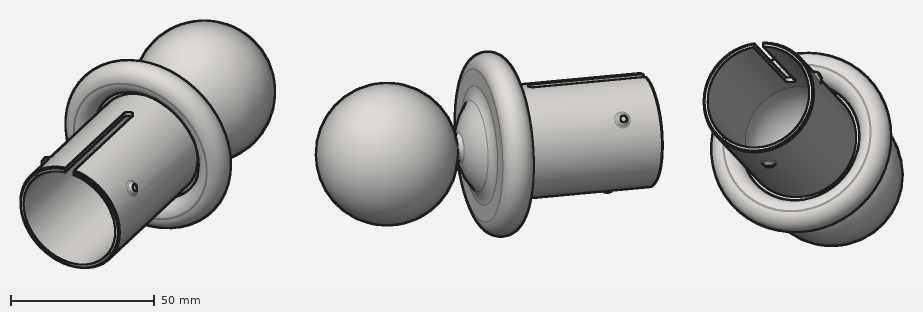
import cadquery as cq
import math

total_length = 119.8

ball_radius = 24.9
neck_radius = 4.5
neck_end_radius = 5.4
neck_overlap = 0.6

tube_radius = 40.0 / 2
bore_radius = 36.8 / 2
tube_end_chamfer = 0.5

ring_radius = 64.9 / 2
ring_base_y = 50.0
ring_height = 11.1
ring_flat_width = 0.4
groove_radius = 21.3

dome_radius = 24.4
dome_center_y = 44.5
dome_flare_radius = 7.7

slot_width = 3.5
slot_end_y = 43.1

nub_count = 3
nub_y = 14.0
nub_base_radius = 2.4
nub_tip_radius = 1.2
nub_height = 1.2
nub_fillet = 1.0
nub_edge_search = 0.4

ball_center_y = total_length - ball_radius
ring_top_y = ring_base_y + ring_height
ring_round = ring_height / 2
tube_wall = tube_radius - bore_radius
ring_mid_y = ring_base_y + ring_round
ring_outer_center = ring_radius - ring_round
ring_inner_center = ring_outer_center - ring_flat_width
lip_round = ring_inner_center - groove_radius
groove_floor_y = ring_base_y + lip_round


def sphere_at(radius, y):
    return cq.Workplane("XY").sphere(radius).translate((0, y, 0))


def turned(profile):
    """Turn a closed XY profile around the Y axis."""
    return profile.close().revolve(360, (0, 0, 0), (0, 1, 0))


def make_nub():
    """Cone frustum on the -Z side, continued down into the tube wall."""
    wall_middle = (tube_radius + bore_radius) / 2
    nub_tip = tube_radius + nub_height
    nub_slope = (nub_base_radius - nub_tip_radius) / nub_height
    nub_wall_radius = nub_base_radius + nub_slope * (tube_radius - wall_middle)
    profile = (
        cq.Workplane("XZ")
        .moveTo(0, -wall_middle)
        .lineTo(nub_wall_radius, -wall_middle)
        .lineTo(nub_tip_radius, -nub_tip)
        .lineTo(0, -nub_tip)
        .close()
    )
    return profile.revolve(360, (0, 0, 0), (0, 1, 0)).translate((0, nub_y, 0))


def make_tube():
    """Solid tube body with a chamfered end and nubs filleted into its surface."""
    tube = cq.Workplane("XZ").circle(tube_radius).extrude(-ring_top_y)
    tube = tube.faces("<Y").edges().chamfer(tube_end_chamfer)
    for index in range(nub_count):
        turn = index * 360 / nub_count
        tube = tube.union(make_nub().rotate((0, 0, 0), (0, 1, 0), turn))
    for index in range(nub_count):
        turn = math.radians(index * 360 / nub_count)
        seat = (-tube_radius * math.sin(turn), nub_y, -tube_radius * math.cos(turn))
        seat_box = cq.selectors.BoxSelector(
            tuple(value - nub_edge_search for value in seat),
            tuple(value + nub_edge_search for value in seat),
        )
        tube = tube.edges(seat_box).fillet(nub_fillet)
    return tube


def make_ring():
    """Ring with a rounded rim and a quarter-round lip that ends at the groove floor."""
    lip_middle_offset = lip_round * math.sqrt(0.5)
    return turned(
        cq.Workplane("XY")
        .moveTo(0, groove_floor_y)
        .lineTo(groove_radius, groove_floor_y)
        .threePointArc(
            (ring_inner_center - lip_middle_offset, groove_floor_y - lip_middle_offset),
            (ring_inner_center, ring_base_y),
        )
        .lineTo(ring_outer_center, ring_base_y)
        .threePointArc((ring_radius, ring_mid_y), (ring_outer_center, ring_top_y))
        .lineTo(0, ring_top_y)
    )


def make_dome():
    """Spherical cap that flares tangentially into the top face of the ring."""
    flare_center_y = ring_top_y + dome_flare_radius
    center_rise = flare_center_y - dome_center_y
    center_distance = dome_radius + dome_flare_radius
    flare_center_x = math.sqrt(center_distance**2 - center_rise**2)
    tangent_angle = math.atan2(center_rise, flare_center_x)
    middle_angle = (tangent_angle + math.pi / 2) / 2

    def on_dome(angle):
        return (dome_radius * math.cos(angle), dome_center_y + dome_radius * math.sin(angle))

    flare_middle = (
        flare_center_x - dome_flare_radius * math.cos(middle_angle),
        flare_center_y - dome_flare_radius * math.sin(middle_angle),
    )
    return turned(
        cq.Workplane("XY")
        .moveTo(0, groove_floor_y)
        .lineTo(flare_center_x, groove_floor_y)
        .lineTo(flare_center_x, ring_top_y)
        .threePointArc(flare_middle, on_dome(tangent_angle))
        .threePointArc(on_dome(middle_angle), (0, dome_center_y + dome_radius))
    )


def make_neck():
    """Waisted neck joining the dome to the ball."""
    dome_side_y = dome_center_y + math.sqrt(dome_radius**2 - neck_end_radius**2)
    ball_side_y = ball_center_y - math.sqrt(ball_radius**2 - neck_end_radius**2)
    waist_y = (dome_side_y + ball_side_y) / 2
    return turned(
        cq.Workplane("XY")
        .moveTo(0, dome_side_y - neck_overlap)
        .lineTo(neck_end_radius, dome_side_y - neck_overlap)
        .lineTo(neck_end_radius, dome_side_y)
        .threePointArc((neck_radius, waist_y), (neck_end_radius, ball_side_y))
        .lineTo(neck_end_radius, ball_side_y + neck_overlap)
        .lineTo(0, ball_side_y + neck_overlap)
    )


def make_cavity():
    """Bore of the tube, closed by a hemispherical end under the dome."""
    center_y = dome_center_y + dome_radius - tube_wall - bore_radius
    bore = cq.Workplane("XZ").circle(bore_radius).extrude(-center_y)
    return bore.union(sphere_at(bore_radius, center_y))


def make_slot():
    """Round-ended slot, open at the tube end, through the +Z wall only."""
    round_center_y = slot_end_y - slot_width / 2
    channel = cq.Workplane("XY").rect(slot_width, 2 * round_center_y).extrude(tube_radius)
    round_end = cq.Workplane("XY").center(0, round_center_y).circle(slot_width / 2).extrude(tube_radius)
    return channel.union(round_end)


result = make_tube().union(make_ring()).union(make_dome())
result = result.union(make_neck()).union(sphere_at(ball_radius, ball_center_y))
result = result.cut(make_cavity()).cut(make_slot())